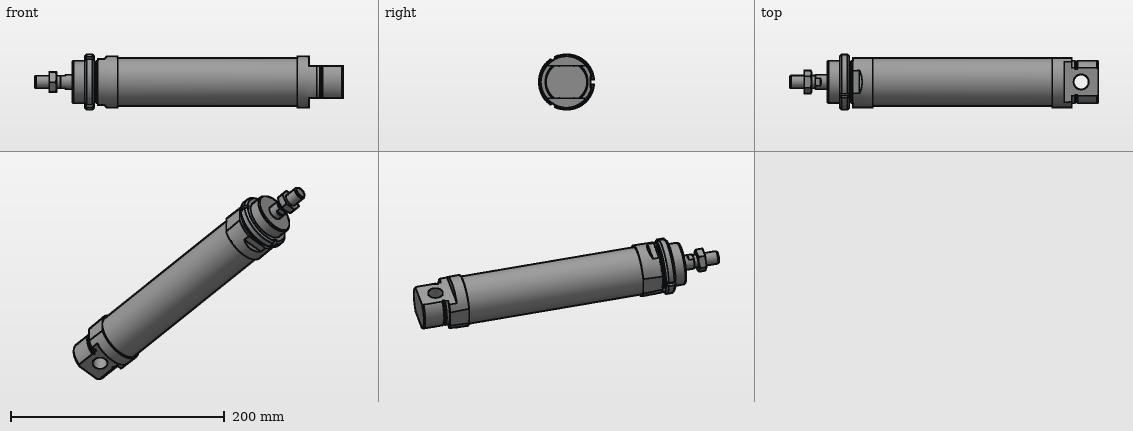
import cadquery as cq
import math

total_length = 289.0
shoulder_x = 24.0
nose_x = 35.3
collar_x = 59.2
tube_x = 77.7
rear_cover_x = 246.0
lug_flat_x = 257.0
lug_x = 264.1

thread_diameter = 12.0
rod_tip_diameter = 10.0
rod_tip_length = 1.5
rod_diameter = 14.0
shoulder_chamfer = 0.5
rod_flat_width = 11.8
rod_flat_end_x = 28.5

rod_nut_x = 13.5
rod_nut_thickness = 7.0
rod_nut_across_flats = 18.8
rod_nut_face_diameter = 18.5
rod_nut_chamfer = 1.0

tube_diameter = 45.0

spigot_diameter = 40.0
spigot_chamfer_length = 1.5
spigot_face_diameter = 38.1
groove_diameter = 38.1
groove_width = 3.0
groove_floor_width = 1.2
front_groove_x = 57.0
rear_groove_x = 268.2
collar_diameter = 48.5
collar_outer_face_diameter = 48.0
collar_back_y = tube_diameter / 2
cover_flat_width = 43.0
cover_flat_end_x = 65.3
lug_thickness = 30.0
lug_hole_diameter = 14.0
lug_hole_x = 272.8

ring_nut_x = 46.8
ring_nut_thickness = 9.2
ring_nut_diameter = 52.0
ring_nut_chamfer = 2.0
slot_count = 3
slot_width = 4.0
slot_depth = 3.5

cutter_reach = ring_nut_diameter


def revolve_x(profile):
    """Revolve a closed outline of (x, radius) points about the X axis."""
    return cq.Workplane("XY").polyline(profile).close().revolve(360, (0, 0, 0), (1, 0, 0))


def cylinder_x(diameter, start, end):
    return cq.Workplane("YZ", origin=(start, 0, 0)).circle(diameter / 2).extrude(end - start)


def cutting_block(x_range, y_range, z_range):
    """Box to cut away, spanning the given (low, high) range on each axis."""
    low, high = zip(x_range, y_range, z_range)
    size = [b - a for a, b in zip(low, high)]
    return cq.Workplane("XY").box(*size, centered=False).translate(low)


def flat_cutter(start, end, height):
    """Material above a flat at the given height, its rear end sloping up at 45 degrees."""
    reach = cutter_reach
    rise = reach - height
    outline = [(start, height), (end, height), (end + rise, reach), (start, reach)]
    return cq.Workplane("XZ").polyline(outline).close().extrude(reach, both=True)


def cut_flats(body, start, end, width):
    """Cut a pair of spanner flats, one above and one below the axis."""
    cutter = flat_cutter(start, end, width / 2)
    return body.cut(cutter).cut(cutter.mirror("XY"))


def cut_groove(body, center):
    """Cut a groove with sloping sides around a cover's spigot."""
    floor = groove_diameter / 2
    top = spigot_diameter / 2
    half_floor = groove_floor_width / 2
    half_top = groove_width / 2
    ring = revolve_x([
        (center - half_floor, floor),
        (center + half_floor, floor),
        (center + half_top, top),
        (center - half_top, top),
    ])
    return body.cut(ring)


def cut_collar_back(body, start, end):
    """Trim the +Y side of a collar flat."""
    reach = cutter_reach
    return body.cut(cutting_block((start, end), (collar_back_y, reach), (-reach, reach)))


def make_rod():
    thread_r = thread_diameter / 2
    rod_r = rod_diameter / 2
    rod = revolve_x([
        (0, 0),
        (0, rod_tip_diameter / 2),
        (rod_tip_length, thread_r),
        (shoulder_x, thread_r),
        (shoulder_x, rod_r - shoulder_chamfer),
        (shoulder_x + shoulder_chamfer, rod_r),
        (tube_x, rod_r),
        (tube_x, 0),
    ])
    return cut_flats(rod, shoulder_x, rod_flat_end_x, rod_flat_width)


def make_rod_nut():
    corner_diameter = 2 * rod_nut_across_flats / math.sqrt(3)
    end = rod_nut_x + rod_nut_thickness
    hexagon = (
        cq.Workplane("YZ", origin=(rod_nut_x, 0, 0))
        .polygon(6, corner_diameter)
        .extrude(rod_nut_thickness)
    )
    face_r = rod_nut_face_diameter / 2
    flare = (corner_diameter / 2 - face_r) / rod_nut_chamfer
    cone = revolve_x([
        (rod_nut_x, 0),
        (rod_nut_x, face_r + flare * rod_nut_thickness),
        (end, face_r),
        (end, 0),
    ])
    return hexagon.intersect(cone).cut(cylinder_x(thread_diameter, rod_nut_x, end))


def make_front_cover():
    cover = revolve_x([
        (nose_x, 0),
        (nose_x, spigot_face_diameter / 2),
        (nose_x + spigot_chamfer_length, spigot_diameter / 2),
        (collar_x, spigot_diameter / 2),
        (collar_x, collar_outer_face_diameter / 2),
        (tube_x, collar_diameter / 2),
        (tube_x, 0),
    ])
    cover = cut_groove(cover, front_groove_x)
    cover = cut_flats(cover, collar_x, cover_flat_end_x, cover_flat_width)
    cover = cut_collar_back(cover, collar_x, tube_x)
    return cover.cut(cylinder_x(rod_diameter, nose_x, tube_x))


def make_ring_nut():
    end = ring_nut_x + ring_nut_thickness
    outer_r = ring_nut_diameter / 2
    nut = cylinder_x(ring_nut_diameter, ring_nut_x, end).edges().chamfer(ring_nut_chamfer)
    slot = cutting_block(
        (ring_nut_x, end),
        (outer_r - slot_depth, cutter_reach),
        (-slot_width / 2, slot_width / 2),
    )
    for i in range(slot_count):
        nut = nut.cut(slot.rotate((0, 0, 0), (1, 0, 0), i * 360 / slot_count))
    return nut.cut(cylinder_x(spigot_diameter, ring_nut_x, end))


def make_tube():
    return cylinder_x(tube_diameter, tube_x, rear_cover_x)


def make_rear_cover():
    cover = revolve_x([
        (rear_cover_x, 0),
        (rear_cover_x, collar_diameter / 2),
        (lug_x, collar_outer_face_diameter / 2),
        (lug_x, spigot_diameter / 2),
        (total_length - spigot_chamfer_length, spigot_diameter / 2),
        (total_length, spigot_face_diameter / 2),
        (total_length, 0),
    ])
    cover = cut_groove(cover, rear_groove_x)
    cover = cut_collar_back(cover, rear_cover_x, lug_x)

    reach = cutter_reach
    above_lug = cutting_block((lug_flat_x, total_length), (-reach, reach), (lug_thickness / 2, reach))
    cover = cover.cut(above_lug).cut(above_lug.mirror("XY"))
    hole = (
        cq.Workplane("XY", origin=(lug_hole_x, 0, 0))
        .circle(lug_hole_diameter / 2)
        .extrude(lug_thickness, both=True)
    )
    return cover.cut(hole)


rod = make_rod()
rod_nut = make_rod_nut()
front_cover = make_front_cover()
ring_nut = make_ring_nut()
tube = make_tube()
rear_cover = make_rear_cover()

result = cq.Compound.makeCompound([
    rod.val(),
    rod_nut.val(),
    front_cover.val(),
    ring_nut.val(),
    tube.val(),
    rear_cover.val(),
])